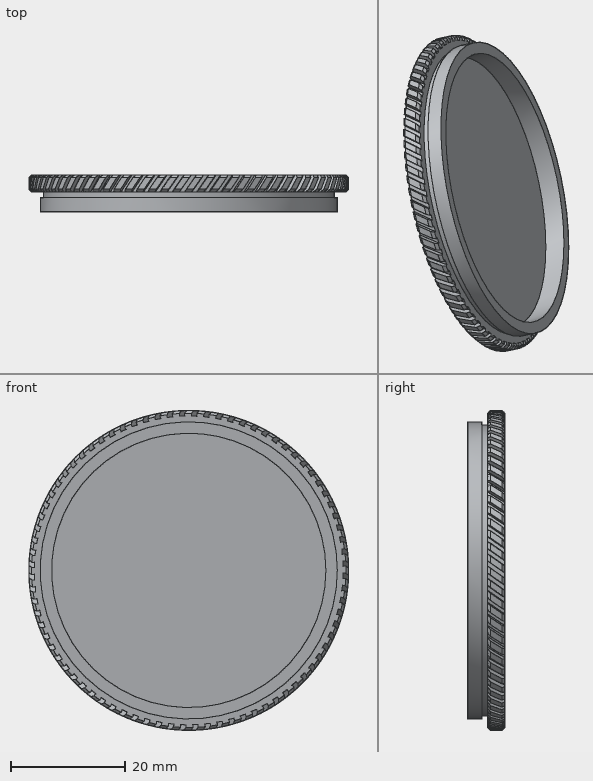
import cadquery as cq

FLANGE_DIAMETER = 56.0
FLANGE_THICKNESS = 3.0
FLANGE_CHAMFER = 0.5

NECK_DIAMETER = 51.0
NECK_LENGTH = 1.0
RIM_DIAMETER = 52.0
RIM_LENGTH = 2.5

RECESS_DIAMETER = 48.0
RECESS_DEPTH = NECK_LENGTH + RIM_LENGTH

GROOVE_COUNT = 80
GROOVE_WIDTH = 0.75
GROOVE_DEPTH = 1.0
GROOVE_SLANT = 35.0
GROOVE_START_ANGLE = -0.3

TOTAL_LENGTH = FLANGE_THICKNESS + NECK_LENGTH + RIM_LENGTH
BACK_Y = TOTAL_LENGTH / 2
FLANGE_FRONT_Y = BACK_Y - FLANGE_THICKNESS
NECK_FRONT_Y = FLANGE_FRONT_Y - NECK_LENGTH


def disc(diameter, length, back_y):
    """Cylinder on the Y axis, running from back_y toward -Y."""
    return cq.Workplane("XZ", origin=(0, back_y, 0)).circle(diameter / 2).extrude(length)


def groove_cutter(angle):
    """Slanted bar sunk into the flange edge, turned about the Y axis."""
    flange_radius = FLANGE_DIAMETER / 2
    bar_length = 2 * FLANGE_THICKNESS
    bar_height = 2 * GROOVE_DEPTH
    middle_y = BACK_Y - FLANGE_THICKNESS / 2
    bar = cq.Workplane("XY").box(GROOVE_WIDTH, bar_length, bar_height)
    bar = bar.rotate((0, 0, 0), (0, 0, 1), -GROOVE_SLANT)
    bar = bar.translate((0, middle_y, flange_radius))
    return bar.rotate((0, 0, 0), (0, 1, 0), angle)


def grip_flange():
    """Chamfered disc with slanted grooves cut through its edge."""
    flange = disc(FLANGE_DIAMETER, FLANGE_THICKNESS, BACK_Y).edges().chamfer(FLANGE_CHAMFER)
    pitch_angle = 360.0 / GROOVE_COUNT
    cutters = [groove_cutter(GROOVE_START_ANGLE + i * pitch_angle).val() for i in range(GROOVE_COUNT)]
    return flange.cut(cq.Workplane(cq.Compound.makeCompound(cutters)))


neck = disc(NECK_DIAMETER, NECK_LENGTH, FLANGE_FRONT_Y)
rim = disc(RIM_DIAMETER, RIM_LENGTH, NECK_FRONT_Y)
recess = disc(RECESS_DIAMETER, RECESS_DEPTH, FLANGE_FRONT_Y)

result = grip_flange().union(neck).union(rim).cut(recess)